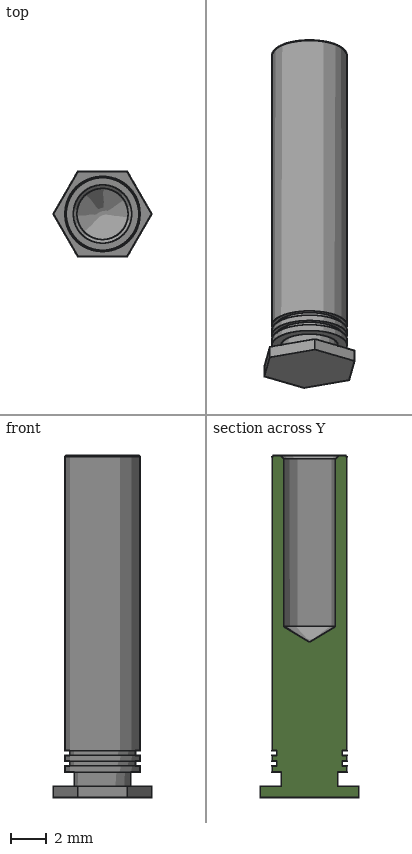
import cadquery as cq
import math

total_height = 19.05
hex_sides = 6
hex_across_flats = 4.75
hex_thickness = 0.635

body_diameter = 4.19
groove_diameter = 3.68
neck_diameter = 3.17

neck_top = 1.42
lowest_collar_height = 0.35
groove_count = 2
groove_width = 0.26
groove_pitch = 0.58
top_edge_chamfer = 0.075

bore_diameter = 2.85
bore_full_depth = total_height / 2
drill_point_angle = 118.0
mouth_diameter = 3.25
mouth_angle = 90.0


def cone_height(large_diameter, small_diameter, included_angle):
    """Axial length of a cone between two diameters."""
    radial_step = (large_diameter - small_diameter) / 2
    return radial_step / math.tan(math.radians(included_angle / 2))


def make_head():
    across_corners = hex_across_flats / math.cos(math.pi / hex_sides)
    return cq.Workplane("XY").polygon(hex_sides, across_corners).extrude(hex_thickness)


def make_barrel():
    neck = (
        cq.Workplane("XY")
        .circle(neck_diameter / 2)
        .extrude(neck_top)
    )
    body = (
        cq.Workplane("XY", origin=(0, 0, neck_top))
        .circle(body_diameter / 2)
        .extrude(total_height - neck_top)
        .faces(">Z")
        .edges()
        .chamfer(top_edge_chamfer)
    )
    return body.union(neck)


def make_groove(bottom):
    """Ring of material removed by one groove around the barrel."""
    return (
        cq.Workplane("XY", origin=(0, 0, bottom))
        .circle(body_diameter / 2)
        .circle(groove_diameter / 2)
        .extrude(groove_width)
    )


def make_bore():
    """Bore with a drill-point floor and a countersunk mouth."""
    bore_radius = bore_diameter / 2
    bore_floor = total_height - bore_full_depth
    drill_tip = bore_floor - cone_height(bore_diameter, 0, drill_point_angle)
    mouth_bottom = total_height - cone_height(mouth_diameter, bore_diameter, mouth_angle)
    return (
        cq.Workplane("XZ")
        .moveTo(0, drill_tip)
        .lineTo(bore_radius, bore_floor)
        .lineTo(bore_radius, mouth_bottom)
        .lineTo(mouth_diameter / 2, total_height)
        .lineTo(0, total_height)
        .close()
        .revolve(360, (0, 0, 0), (0, 1, 0))
    )


barrel = make_barrel()
for index in range(groove_count):
    groove_bottom = neck_top + lowest_collar_height + index * groove_pitch
    barrel = barrel.cut(make_groove(groove_bottom))

result = make_head().union(barrel).cut(make_bore())